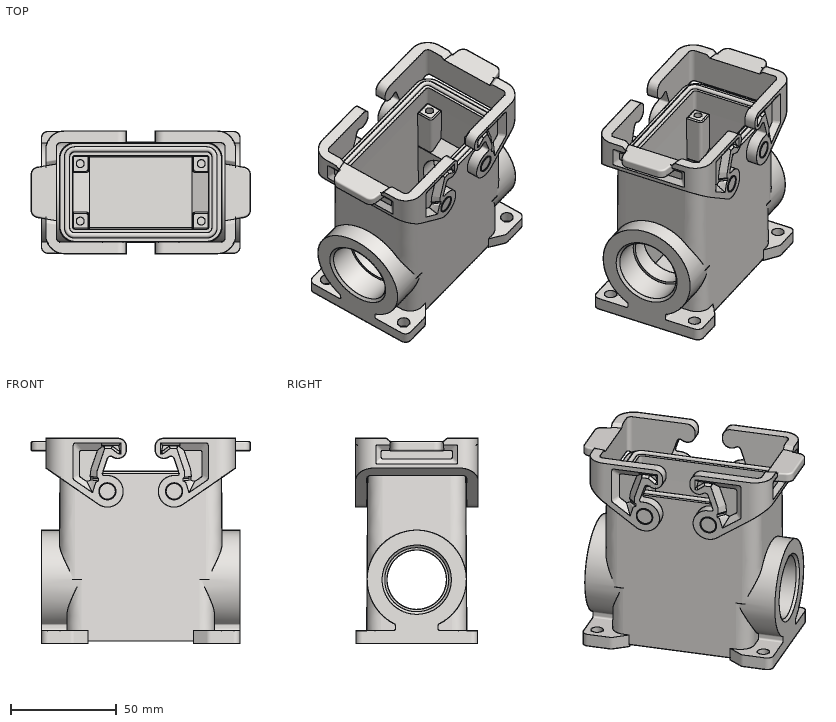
import cadquery as cq
import math

body_base_z = 1.1
step_z = 30.1
rim_z = 80.1
draft = 0.4
lower_half_x = 34.9
lower_half_y = 23.7
upper_half_x = 38.5
lower_corner = 7.0
upper_corner = 7.6
upper_half_y = lower_half_y - (step_z - body_base_z) * math.tan(math.radians(draft))

bead_half_x = 36.0
bead_half_y = 21.5
bead_width = 2.5
bead_height = 1.2
bead_corner = 4.9
bead_round = 1.1

cavity_half_x = 32.3
cavity_half_y = 17.5
cavity_corner = 1.6
cavity_draft = 0.8
floor_z = 5.2
shelf_half_x = 24.1
shelf_z = 45.5
shelf_slope = 25.0

post_top_z = 69.2
post_size_x = 8.0
post_size_y = 8.2
post_corner = 1.6
post_chamfer = 0.6
post_hole_x = 28.6
post_hole_y = 13.6
post_hole_radius = 1.9
post_hole_depth = 12.4

entry_radius = 23.4
entry_end_x = 46.9
entry_root_x = 27.8
bore_radius = 15.1
bore_chamfer = 1.2
passage_radius = 14.0
bore_depth = 14.5

foot_height = 6.1
foot_half_y = 28.8
foot_corner = 3.1
foot_inner_x = 24.8
foot_bend_x = 32.1
foot_tip_y = 23.6
foot_hole_x = 41.0
foot_hole_y = 22.6
foot_hole_radius = 2.9
neck_half_y = 10.0
neck_fillet = 0.9

lever_top_z = 96.9
lever_end_x = 44.8
lever_half_y = 29.0
lever_corner = 8.9
lever_wall = 5.0
lever_inner_y = 23.5
lever_inner_corner = 2.3
lever_end_z = 82.8
hook_x = 6.7
hook_round = 4.1
pivot_x = 15.7
pivot_z = 71.8
pivot_radius = 7.5
pin_radius = 4.0
pin_groove = 0.3
throat_round = 1.6
throat_foot_round = 0.8
pin_root = 2.1
hook_tip = (-hook_x, 84.5)
throat_top = (-15.1, 89.0)
throat_foot = (-18.4, pivot_z + pivot_radius)

tab_tip_x = 51.8
tab_tip_half_y = 11.4
tab_root_half_y = 13.4
tab_top_z = 95.3
tab_thickness = 4.5
tab_corner = 3.6
tab_edge_round = 0.8
notch_round = 0.8
notch_flank = 48.0

arm_recess_depth = 2.9
hook_recess_depth = 1.2
arm_recess_rim = [
    (-31.9, 94.6), (-16.1, 94.6), (-20.6, 81.4), (-20.7, 78.5), (-20.0, 77.8),
    (-20.0, 76.7), (-21.2, 76.1), (-22.8, 71.2), (-31.9, 77.4),
]
arm_recess_floor = [
    (-29.0, 91.2), (-20.4, 91.2), (-23.5, 82.3), (-23.9, 78.9), (-23.6, 78.0),
    (-23.6, 77.2), (-24.0, 76.9), (-25.5, 76.5), (-29.0, 78.8),
]
arm_recess_round = 1.9
hook_recess_rim = [(-18.6, 94.6), (-9.2, 94.6), (-9.2, 89.4), (-10.4, 89.4), (-13.9, 92.0), (-17.1, 92.0)]
hook_recess_floor = [(-18.6, 93.4), (-10.5, 93.4), (-9.7, 90.6), (-9.9, 90.6), (-13.5, 93.2), (-17.1, 93.2)]
end_recess_half_y = 19.3
end_recess_bottom_z = 84.7
end_recess_top_z = 93.7
end_recess_depth = 2.1
end_recess_slope = 2.5
end_recess_round = 1.2


def rounded_block(half_x, half_y, corner, base_z, height, taper=0.0):
    """Rounded rectangle extruded from base_z, downward if the height is negative."""
    outline = cq.Workplane("XY").workplane(offset=base_z).sketch()
    outline = outline.rect(2 * half_x, 2 * half_y).vertices().fillet(corner).finalize()
    return outline.extrude(height, taper=taper)


def x_cylinder(radius, x_start, x_end):
    """Cylinder along X on the cable entry axis."""
    plane = cq.Workplane("YZ", origin=(x_start, 0, step_z))
    return plane.circle(radius).extrude(x_end - x_start)


def both_ends(half):
    return half.union(half.mirror("YZ"))


def both_sides(half):
    return half.union(half.mirror("XZ"))


def polygon_at_y(points, y):
    return cq.Wire.makePolygon([cq.Vector(x, y, z) for x, z in points], close=True)


def fillet_near(solid, point, radius):
    """Fillet the one edge whose middle is closest to the point."""
    return solid.edges(cq.selectors.NearestToPointSelector(point)).fillet(radius)


def make_body():
    lower = rounded_block(lower_half_x, lower_half_y, lower_corner, body_base_z, step_z - body_base_z, draft)
    upper = rounded_block(upper_half_x, upper_half_y, upper_corner, step_z, rim_z - step_z, draft)
    return lower.union(upper)


def make_bead():
    outer = rounded_block(bead_half_x, bead_half_y, bead_corner, rim_z, bead_height)
    inner = rounded_block(
        bead_half_x - bead_width, bead_half_y - bead_width, bead_corner - bead_width, rim_z, bead_height
    )
    return outer.cut(inner).faces(">Z").edges().fillet(bead_round)


def make_cavity():
    mouth = rounded_block(
        cavity_half_x, cavity_half_y, cavity_corner, post_top_z, rim_z + bead_height - post_top_z
    )
    well = rounded_block(
        cavity_half_x, cavity_half_y, cavity_corner, post_top_z, floor_z - post_top_z, cavity_draft
    )
    rise = (cavity_half_x - shelf_half_x) * math.tan(math.radians(shelf_slope))
    shelf = (
        cq.Workplane("XZ")
        .polyline([
            (-cavity_half_x, floor_z),
            (-shelf_half_x, floor_z),
            (-shelf_half_x, shelf_z),
            (-cavity_half_x, shelf_z + rise),
        ])
        .close()
        .extrude(cavity_half_y, both=True)
    )
    return mouth.union(well).cut(both_ends(shelf))


def make_posts():
    post = (
        cq.Workplane("XY", origin=(-cavity_half_x, -cavity_half_y, shelf_z))
        .rect(post_size_x, post_size_y, centered=False)
        .extrude(post_top_z - shelf_z)
        .edges("|Z and >X and >Y")
        .fillet(post_corner)
        .faces(">Z")
        .chamfer(post_chamfer)
    )
    hole = (
        cq.Workplane("XY", origin=(-post_hole_x, -post_hole_y, post_top_z))
        .circle(post_hole_radius)
        .extrude(-post_hole_depth)
    )
    return both_ends(both_sides(post.cut(hole)))


def make_end():
    """Left foot plate, cable entry boss and the neck between them."""
    plate = (
        cq.Workplane("XY")
        .polyline([
            (-entry_end_x, -foot_half_y),
            (-foot_bend_x, -foot_half_y),
            (-foot_inner_x, -foot_tip_y),
            (-foot_inner_x, foot_tip_y),
            (-foot_bend_x, foot_half_y),
            (-entry_end_x, foot_half_y),
        ])
        .close()
        .extrude(foot_height)
        .edges("|Z and (not >X)")
        .fillet(foot_corner)
    )
    holes = (
        cq.Workplane("XY")
        .pushPoints([(-foot_hole_x, -foot_hole_y), (-foot_hole_x, foot_hole_y)])
        .circle(foot_hole_radius)
        .extrude(foot_height)
    )
    neck = cq.Workplane("XY").box(
        entry_end_x - entry_root_x, 2 * neck_half_y, step_z, centered=(False, True, False)
    ).translate((-entry_end_x, 0, 0))
    entry = x_cylinder(entry_radius, -entry_end_x, -entry_root_x)
    end = plate.cut(holes).union(neck).union(entry)
    middle_x = -(entry_end_x + entry_root_x) / 2
    neck_top_z = step_z - math.sqrt(entry_radius**2 - neck_half_y**2)
    for side in (-1, 1):
        for z in (foot_height, neck_top_z):
            end = fillet_near(end, (middle_x, side * neck_half_y, z), neck_fillet)
    return end


def make_bore():
    """Left cable bore: chamfered mouth, then a narrower passage to the cavity."""
    main = x_cylinder(bore_radius, -entry_end_x, bore_depth - entry_end_x)
    passage = x_cylinder(passage_radius, -entry_end_x, 0)
    mouth = (
        cq.Workplane("YZ", origin=(-entry_end_x, 0, step_z))
        .circle(bore_radius + bore_chamfer)
        .extrude(bore_chamfer, taper=45)
    )
    return main.union(passage).union(mouth)


def make_lever_profile():
    """Side outline of the left lever, extruded across the full width."""
    run = lever_end_x - pivot_x
    drop = lever_end_z - pivot_z
    lower_edge = math.atan2(drop, run) + math.asin(pivot_radius / math.hypot(run, drop))
    tangent_x = -pivot_x - pivot_radius * math.sin(lower_edge)
    tangent_z = pivot_z - pivot_radius * math.cos(lower_edge)
    profile = (
        cq.Workplane("XZ")
        .moveTo(-lever_end_x, lever_top_z)
        .lineTo(-hook_x, lever_top_z)
        .lineTo(*hook_tip)
        .lineTo(*throat_top)
        .lineTo(*throat_foot)
        .lineTo(-pivot_x, pivot_z + pivot_radius)
        .threePointArc((pivot_radius - pivot_x, pivot_z), (-pivot_x, pivot_z - pivot_radius))
        .threePointArc(
            (
                -pivot_x - pivot_radius * math.sin(lower_edge / 2),
                pivot_z - pivot_radius * math.cos(lower_edge / 2),
            ),
            (tangent_x, tangent_z),
        )
        .lineTo(-lever_end_x, lever_end_z)
        .close()
        .extrude(lever_half_y, both=True)
    )
    rounds = [
        ((-hook_x, lever_top_z), hook_round),
        (hook_tip, hook_round),
        (throat_top, throat_round),
        (throat_foot, throat_foot_round),
    ]
    for (x, z), radius in rounds:
        profile = fillet_near(profile, (x, 0, z), radius)
    return profile


def make_lever_plan():
    """U-shaped plan of the left lever, open toward the middle of the part."""
    height = lever_top_z
    outer = (
        cq.Workplane("XY")
        .box(lever_end_x, 2 * lever_half_y, height, centered=(False, True, False))
        .edges("|Z and <X")
        .fillet(lever_corner)
    )
    inner = (
        cq.Workplane("XY")
        .box(lever_end_x - lever_wall, 2 * lever_inner_y, height, centered=(False, True, False))
        .edges("|Z and <X")
        .fillet(lever_inner_corner)
        .translate((lever_wall, 0, 0))
    )
    return outer.cut(inner).translate((-lever_end_x, 0, 0))


def make_recess(rim_points, floor_points, depth):
    """Sloped pocket in the -Y arm between a rim outline and a floor outline."""
    rim = polygon_at_y(rim_points, -lever_half_y)
    floor = polygon_at_y(floor_points, depth - lever_half_y)
    return cq.Workplane(cq.Solid.makeLoft([rim, floor], True))


def corner_middle(rim_point, floor_point):
    """Midpoint of the sloped edge that joins a rim corner to its floor corner."""
    x = (rim_point[0] + floor_point[0]) / 2
    z = (rim_point[1] + floor_point[1]) / 2
    return x, arm_recess_depth / 2 - lever_half_y, z


def make_end_recess():
    """Sloped pocket in the outside of the lever end wall."""
    middle_z = (end_recess_top_z + end_recess_bottom_z) / 2
    height = end_recess_top_z - end_recess_bottom_z
    return (
        cq.Workplane("YZ", origin=(-lever_end_x, 0, middle_z))
        .rect(2 * end_recess_half_y, height)
        .workplane(offset=end_recess_depth)
        .rect(2 * (end_recess_half_y - end_recess_slope), height - 2 * end_recess_slope)
        .loft(ruled=True)
        .edges("not (|Y or |Z)")
        .fillet(end_recess_round)
    )


def tab_outline(base_z):
    root_x = lever_wall - lever_end_x
    return (
        cq.Workplane("XY")
        .workplane(offset=base_z)
        .polyline([
            (root_x, tab_root_half_y),
            (-tab_tip_x, tab_tip_half_y),
            (-tab_tip_x, -tab_tip_half_y),
            (root_x, -tab_root_half_y),
        ])
        .close()
    )


def make_tab():
    return (
        tab_outline(tab_top_z - tab_thickness)
        .extrude(tab_thickness)
        .edges("|Z and <X")
        .fillet(tab_corner)
        .faces("<Z or >Z")
        .edges("not >X")
        .fillet(tab_edge_round)
    )


def make_notch():
    """Flared gap in the top of the end wall, above the tab."""
    return tab_outline(tab_top_z).extrude(lever_top_z - tab_top_z, taper=-notch_flank)


def round_notch(lever):
    """Round the two upper corners of the notch."""
    middle_x = lever_wall / 2 - lever_end_x
    flare = (lever_top_z - tab_top_z) * math.tan(math.radians(notch_flank))
    for side in (-1, 1):
        lever = fillet_near(lever, (middle_x, side * (tab_root_half_y + flare), lever_top_z), notch_round)
    return lever


def make_pins():
    """Pivot pins through both arms into the body, each outlined by a fine groove."""
    pin = (
        cq.Workplane("XZ", origin=(-pivot_x, -cavity_half_y - pin_root, pivot_z))
        .circle(pin_radius)
        .extrude(lever_half_y - cavity_half_y - pin_root)
    )
    groove = (
        cq.Workplane("XZ", origin=(-pivot_x, pin_groove - lever_half_y, pivot_z))
        .circle(pin_radius)
        .circle(pin_radius - pin_groove)
        .extrude(pin_groove)
    )
    return both_sides(pin), both_sides(groove)


def make_lever():
    lever = make_lever_profile().intersect(make_lever_plan())
    arm_recess = make_recess(arm_recess_rim, arm_recess_floor, arm_recess_depth)
    for index in (0, -1):
        middle = corner_middle(arm_recess_rim[index], arm_recess_floor[index])
        arm_recess = fillet_near(arm_recess, middle, arm_recess_round)
    hook_recess = make_recess(hook_recess_rim, hook_recess_floor, hook_recess_depth)
    lever = lever.cut(both_sides(arm_recess.union(hook_recess)))
    lever = lever.cut(make_end_recess()).cut(make_notch())
    lever = round_notch(lever)
    pins, grooves = make_pins()
    return lever.union(make_tab()).union(pins).cut(grooves)


housing = make_body().union(make_bead()).union(both_ends(make_end()))
housing = housing.cut(make_cavity()).union(make_posts()).cut(both_ends(make_bore()))
result = housing.union(both_ends(make_lever()))